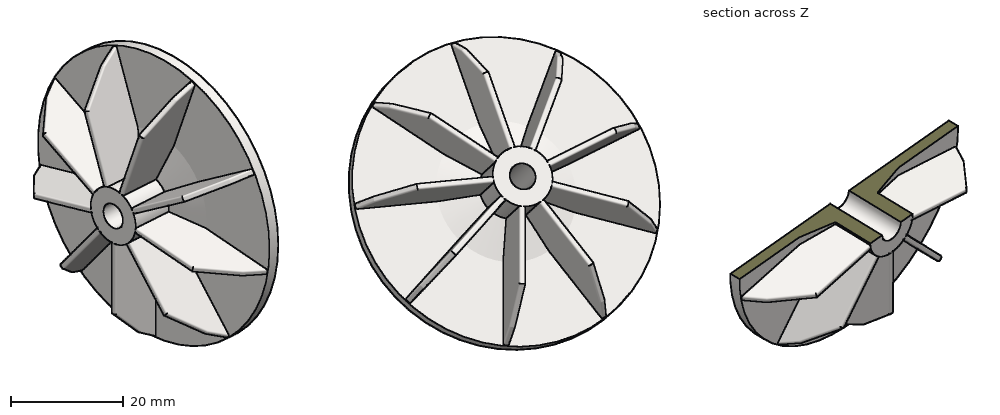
import cadquery as cq

disc_diameter = 57.15
disc_thickness = 2.3
total_depth = 12.7

hub_diameter = 11.1
bore_diameter = 4.8
cone_diameter = 26.0
cone_height = 1.9

blade_count = 9
blade_thickness = 1.15
blade_edge_fillet = 0.35
blade_root_radius = 28.4
blade_knee_radius = 26.1
blade_knee_height = 3.95
blade_tip_radius = 19.9

first_blade_angle = -90.0
blade_pitch = 360.0 / blade_count
hub_radius = hub_diameter / 2
bore_radius = bore_diameter / 2
blade_inner_radius = (hub_radius + bore_radius) / 2
knee_depth = disc_thickness + blade_knee_height


def make_body():
    """Disc, cone and hub as one revolved profile; X is radius, Y runs from the disc back to the hub face."""
    profile = (
        cq.Workplane("XY")
        .moveTo(bore_radius, 0)
        .lineTo(disc_diameter / 2, 0)
        .lineTo(disc_diameter / 2, -disc_thickness)
        .lineTo(cone_diameter / 2, -disc_thickness)
        .lineTo(hub_radius, -disc_thickness - cone_height)
        .lineTo(hub_radius, -total_depth)
        .lineTo(bore_radius, -total_depth)
        .close()
    )
    return profile.revolve(360, (0, 0, 0), (0, 1, 0))


def make_blade():
    """One blade along +X, rooted at mid-depth of the disc, with both long free edges rounded."""
    root_depth = disc_thickness / 2
    plate = (
        cq.Workplane("XY")
        .moveTo(blade_inner_radius, -root_depth)
        .lineTo(blade_root_radius, -root_depth)
        .lineTo(blade_root_radius, -disc_thickness)
        .lineTo(blade_knee_radius, -knee_depth)
        .lineTo(blade_tip_radius, -total_depth)
        .lineTo(blade_inner_radius, -total_depth)
        .close()
        .extrude(blade_thickness / 2, both=True)
    )
    edges = plate.faces("|Z").edges().filter(
        lambda edge: edge.Center().x > blade_inner_radius and edge.Center().y < -disc_thickness
    )
    return plate.newObject(edges.vals()).fillet(blade_edge_fillet)


result = make_body()
blade = make_blade()
for index in range(blade_count):
    angle = -(first_blade_angle + index * blade_pitch)
    result = result.union(blade.rotate((0, 0, 0), (0, 1, 0), angle))